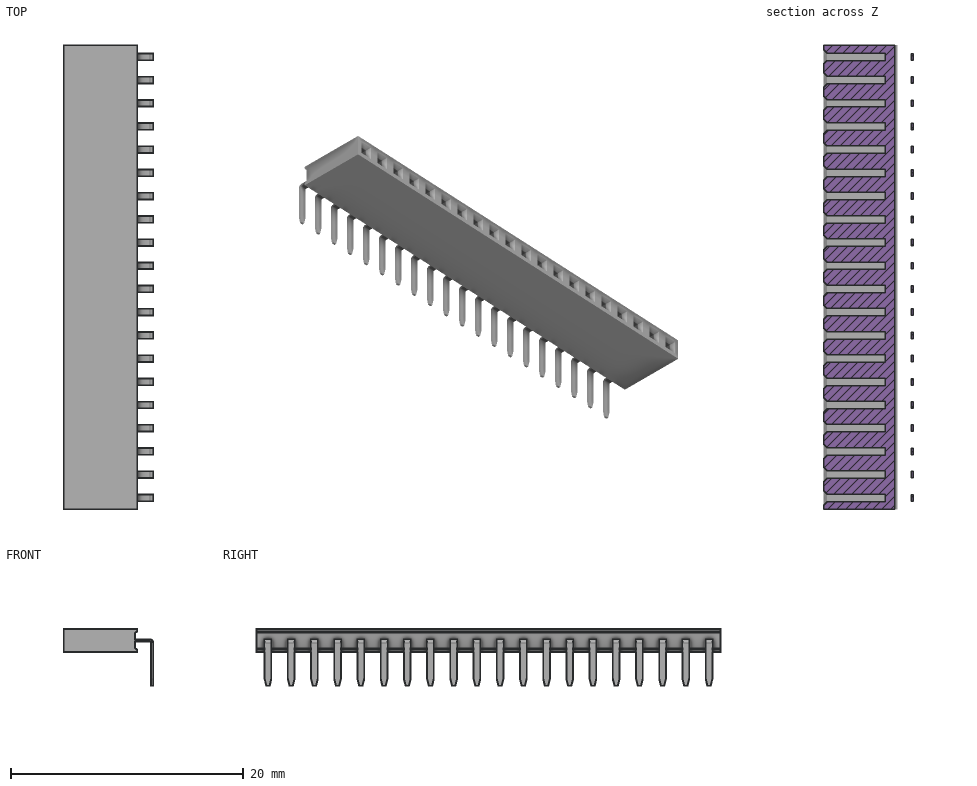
import cadquery as cq

PIN_COUNT = 20
PITCH = 2.0
BODY_LENGTH = PIN_COUNT * PITCH
BODY_HEIGHT = 2.0
BODY_DEPTH = 6.35
MID_HEIGHT = BODY_HEIGHT / 2

GROOVE_DEPTH = 0.2
GROOVE_MOUTH = 1.6
GROOVE_FLOOR = 1.3

LEAD_IN_MOUTH = 1.2
BORE_SIZE = 0.6
LEAD_IN_DEPTH = 0.3
BORE_DEPTH = 5.0

OVERALL_DEPTH = 7.72
OVERALL_HEIGHT = 4.9
PIN_WIDTH = BORE_SIZE
PIN_THICKNESS = 0.2
BEND_OUTER_RADIUS = 0.3
BEND_INNER_RADIUS = BEND_OUTER_RADIUS - PIN_THICKNESS
TIP_WIDTH = PIN_WIDTH / 2
TIP_LENGTH = 0.6
PIN_FRONT = 1.0
PIN_BOTTOM = BODY_HEIGHT - OVERALL_HEIGHT


def make_housing():
    """Rectangular bar with its front face at X = 0, grooved along the rear."""
    bar = cq.Workplane("XY").box(BODY_DEPTH, BODY_LENGTH, BODY_HEIGHT, centered=(False, True, False))
    groove = (
        cq.Workplane("XZ")
        .moveTo(BODY_DEPTH, MID_HEIGHT - GROOVE_MOUTH / 2)
        .lineTo(BODY_DEPTH - GROOVE_DEPTH, MID_HEIGHT - GROOVE_FLOOR / 2)
        .lineTo(BODY_DEPTH - GROOVE_DEPTH, MID_HEIGHT + GROOVE_FLOOR / 2)
        .lineTo(BODY_DEPTH, MID_HEIGHT + GROOVE_MOUTH / 2)
        .close()
        .extrude(BODY_LENGTH / 2, both=True)
    )
    return bar.cut(groove)


def make_socket():
    """Cutting body for one socket, centred on Y = 0."""
    front = cq.Workplane("YZ", origin=(0, 0, MID_HEIGHT))
    lead_in = (
        front.rect(LEAD_IN_MOUTH, LEAD_IN_MOUTH)
        .workplane(offset=LEAD_IN_DEPTH)
        .rect(BORE_SIZE, BORE_SIZE)
        .loft(ruled=True)
    )
    bore = front.workplane(offset=LEAD_IN_DEPTH).rect(BORE_SIZE, BORE_SIZE).extrude(BORE_DEPTH)
    return lead_in.union(bore)


def make_pin():
    """One right-angle contact with a tapered tip, centred on Y = 0."""
    top = MID_HEIGHT + PIN_THICKNESS / 2
    strip = (
        cq.Workplane("XZ")
        .moveTo(PIN_FRONT, top)
        .lineTo(OVERALL_DEPTH - BEND_OUTER_RADIUS, top)
        .radiusArc((OVERALL_DEPTH, top - BEND_OUTER_RADIUS), BEND_OUTER_RADIUS)
        .lineTo(OVERALL_DEPTH, PIN_BOTTOM)
        .lineTo(OVERALL_DEPTH - PIN_THICKNESS, PIN_BOTTOM)
        .lineTo(OVERALL_DEPTH - PIN_THICKNESS, top - BEND_OUTER_RADIUS)
        .radiusArc((OVERALL_DEPTH - BEND_OUTER_RADIUS, top - PIN_THICKNESS), -BEND_INNER_RADIUS)
        .lineTo(PIN_FRONT, top - PIN_THICKNESS)
        .close()
        .extrude(PIN_WIDTH / 2, both=True)
    )
    for side in (-1, 1):
        tip_corner = (
            cq.Workplane("YZ", origin=(OVERALL_DEPTH - PIN_THICKNESS, 0, 0))
            .moveTo(side * TIP_WIDTH / 2, PIN_BOTTOM)
            .lineTo(side * PIN_WIDTH / 2, PIN_BOTTOM + TIP_LENGTH)
            .lineTo(side * PIN_WIDTH / 2, PIN_BOTTOM)
            .close()
            .extrude(PIN_THICKNESS)
        )
        strip = strip.cut(tip_corner)
    return strip


result = make_housing()
socket = make_socket()
pin = make_pin()

for index in range(PIN_COUNT):
    y = (index - (PIN_COUNT - 1) / 2) * PITCH
    result = result.cut(socket.translate((0, y, 0))).union(pin.translate((0, y, 0)))